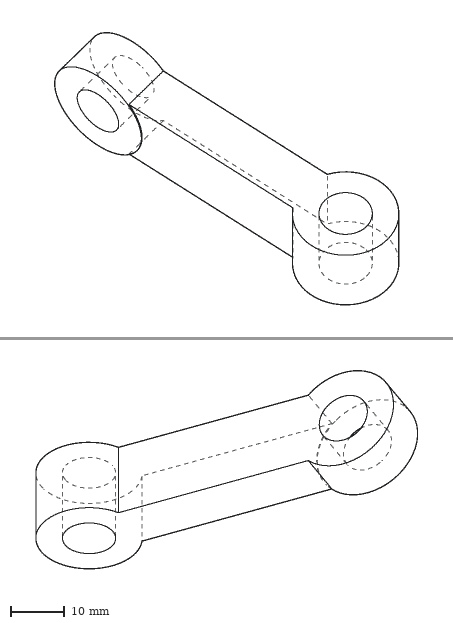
import cadquery as cq

length = 75.65

cross_eye_diameter = 20.9

upright_eye_diameter = 20.0
bar_height = 15.0

bar_thickness = 10.3
front_step = 0.2
cross_eye_width = bar_thickness + front_step

bore_diameter = 10.0

cross_eye_x = (cross_eye_diameter - length) / 2
upright_eye_x = (length - upright_eye_diameter) / 2
back_y = bar_thickness / 2


def cross_cylinder(diameter):
    """Cylinder along Y at the -X eye."""
    return (
        cq.Workplane("XZ", origin=(cross_eye_x, back_y, 0))
        .circle(diameter / 2)
        .extrude(cross_eye_width)
    )


def upright_cylinder(diameter):
    """Cylinder along Z at the +X eye."""
    return (
        cq.Workplane("XY", origin=(upright_eye_x, 0, -bar_height / 2))
        .circle(diameter / 2)
        .extrude(bar_height)
    )


bar = cq.Workplane("XY").box(
    upright_eye_x - cross_eye_x, bar_thickness, bar_height
).translate(((cross_eye_x + upright_eye_x) / 2, 0, 0))

body = bar.union(cross_cylinder(cross_eye_diameter)).union(upright_cylinder(upright_eye_diameter))
result = body.cut(cross_cylinder(bore_diameter)).cut(upright_cylinder(bore_diameter))